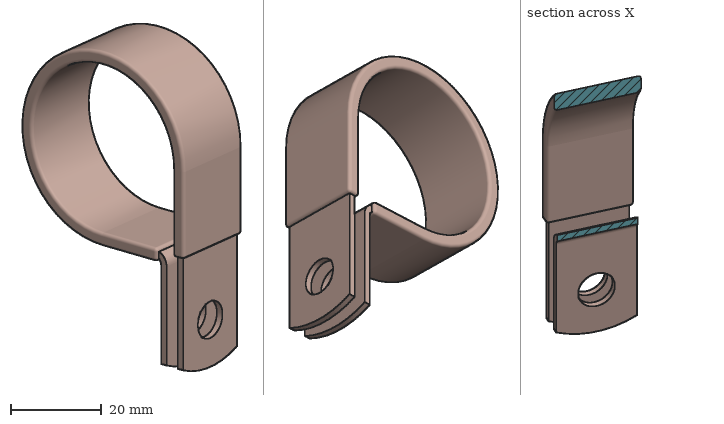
import cadquery as cq
import math

outer_radius = 22.95
cushion_thickness = 3.1
cushion_width = 20.6
cushion_rounding = 0.8
cushion_leg_end_z = -20.6
cushion_arm_end_x = 15.4

strap_thickness = 1.6
strap_width = 19.05
bend_outer_radius = 3.1
bent_leg_outer_x = 17.5

overall_height = 72.15
tip_z = outer_radius - overall_height
tip_sagitta = 2.1
hole_diameter = 8.65
hole_z = -38.0

middle_radius = outer_radius - cushion_thickness / 2
arc_45 = math.sqrt(0.5)


def extrude_centered(outline, width):
    """Extrude an XZ outline symmetrically about the Y = 0 plane."""
    return outline.extrude(width / 2, both=True)


def band(thickness, leg_end_z, arm_end_x, width):
    """Three-quarter loop with a leg down from its right and an arm right from its bottom."""
    outer = middle_radius + thickness / 2
    inner = middle_radius - thickness / 2
    outline = (
        cq.Workplane("XZ")
        .moveTo(outer, leg_end_z)
        .lineTo(outer, 0)
        .threePointArc((-outer * arc_45, outer * arc_45), (0, -outer))
        .lineTo(arm_end_x, -outer)
        .lineTo(arm_end_x, -inner)
        .lineTo(0, -inner)
        .threePointArc((-inner * arc_45, inner * arc_45), (inner, 0))
        .lineTo(inner, leg_end_z)
        .close()
    )
    return extrude_centered(outline, width)


def make_cushion():
    """Rubber cushion, rounded along both rims and around both ends."""
    body = band(cushion_thickness, cushion_leg_end_z, cushion_arm_end_x, cushion_width)
    leg_end = cq.selectors.NearestToPointSelector((middle_radius, 0, cushion_leg_end_z))
    arm_end = cq.selectors.NearestToPointSelector((cushion_arm_end_x, 0, -middle_radius))
    edges = body.faces("<Y or >Y").edges()
    edges = edges.add(body.faces(leg_end).edges()).add(body.faces(arm_end).edges())
    return edges.fillet(cushion_rounding)


def make_bent_leg():
    """Quarter bend from the arm into the second vertical leg."""
    bend_x = bent_leg_outer_x - bend_outer_radius
    arm_top_z = -middle_radius + strap_thickness / 2
    bend_z = arm_top_z - bend_outer_radius
    bend_inner_radius = bend_outer_radius - strap_thickness
    outline = (
        cq.Workplane("XZ")
        .moveTo(bend_x, arm_top_z)
        .threePointArc(
            (bend_x + bend_outer_radius * arc_45, bend_z + bend_outer_radius * arc_45),
            (bent_leg_outer_x, bend_z),
        )
        .lineTo(bent_leg_outer_x, tip_z)
        .lineTo(bent_leg_outer_x - strap_thickness, tip_z)
        .lineTo(bent_leg_outer_x - strap_thickness, bend_z)
        .threePointArc(
            (bend_x + bend_inner_radius * arc_45, bend_z + bend_inner_radius * arc_45),
            (bend_x, bend_z + bend_inner_radius),
        )
        .close()
    )
    return extrude_centered(outline, strap_width)


def make_strap():
    """Metal strap with both legs trimmed to a rounded tip and drilled through."""
    bend_x = bent_leg_outer_x - bend_outer_radius
    strap = band(strap_thickness, tip_z, bend_x, strap_width).union(make_bent_leg())

    half_width = strap_width / 2
    corner_z = tip_z + tip_sagitta
    tip_envelope = (
        cq.Workplane("YZ")
        .moveTo(-half_width, outer_radius)
        .lineTo(-half_width, corner_z)
        .threePointArc((0, tip_z), (half_width, corner_z))
        .lineTo(half_width, outer_radius)
        .close()
        .extrude(outer_radius, both=True)
    )
    bolt_hole = (
        cq.Workplane("YZ")
        .center(0, hole_z)
        .circle(hole_diameter / 2)
        .extrude(outer_radius, both=True)
    )
    return strap.intersect(tip_envelope).cut(bolt_hole)


result = make_cushion().union(make_strap())